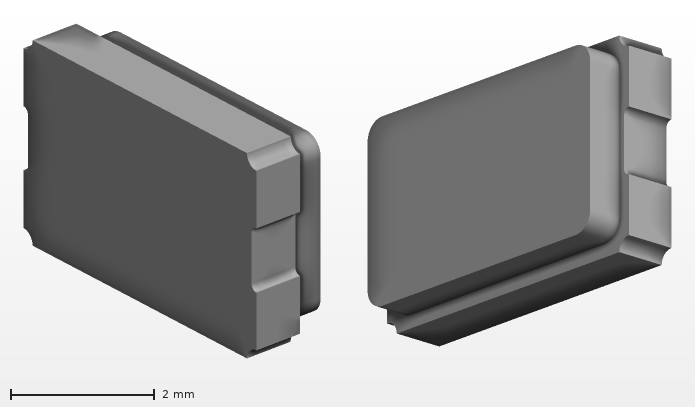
import cadquery as cq

LENGTH = 5.0
HEIGHT = 3.2
TOTAL_DEPTH = 1.35
BASE_DEPTH = 0.8
CORNER_RADIUS = 0.2
LID_LENGTH = LENGTH - 2 * CORNER_RADIUS
LID_HEIGHT = HEIGHT - 2 * CORNER_RADIUS
LID_CORNER_RADIUS = 0.3

NOTCH_HEIGHT = 1.0
NOTCH_DEPTH = 0.1
NOTCH_CORNER_RADIUS = 0.1

PAD_LENGTH = 1.3
PAD_HEIGHT = 2.0
METAL_THICKNESS = 0.05
NOTCH_PLATE_DEPTH = 0.5


def block(length, height, depth, center_x=0.0, start_y=0.0):
    """Box centred on Z = 0 that runs toward +Y from start_y."""
    return (
        cq.Workplane("XY")
        .box(length, depth, height, centered=(True, False, True))
        .translate((center_x, start_y, 0))
    )


def end_notch(side):
    """Cutter for the notch with rounded inner corners; side is -1 or +1 along X."""
    return (
        block(2 * NOTCH_DEPTH, NOTCH_HEIGHT, BASE_DEPTH, side * LENGTH / 2)
        .edges("|Y")
        .edges("<X" if side > 0 else ">X")
        .fillet(NOTCH_CORNER_RADIUS)
    )


def terminal_envelope(side):
    """Pad and notch plate before the notch opening is removed."""
    pad_center = side * (LENGTH - PAD_LENGTH) / 2
    pad = block(PAD_LENGTH, PAD_HEIGHT, METAL_THICKNESS, pad_center)
    plate_length = NOTCH_DEPTH + METAL_THICKNESS
    plate_center = side * (LENGTH - plate_length) / 2
    plate = block(plate_length, NOTCH_HEIGHT, NOTCH_PLATE_DEPTH, plate_center)
    return pad.union(plate)


def make_terminal(side):
    return terminal_envelope(side).cut(end_notch(side))


def make_base():
    """Slab with a concave quarter-round cut along each corner."""
    base = block(LENGTH, HEIGHT, BASE_DEPTH)
    corner_cutters = (
        cq.Workplane("XZ")
        .rect(LENGTH, HEIGHT, forConstruction=True)
        .vertices()
        .circle(CORNER_RADIUS)
        .extrude(-BASE_DEPTH)
    )
    return base.cut(corner_cutters)


def make_lid():
    lid_depth = TOTAL_DEPTH - BASE_DEPTH
    lid = block(LID_LENGTH, LID_HEIGHT, lid_depth, start_y=BASE_DEPTH)
    return lid.edges("|Y").fillet(LID_CORNER_RADIUS)


def make_housing():
    """Base and lid in one piece, with the notches and the terminal recesses."""
    housing = make_base().union(make_lid())
    for side in (-1, 1):
        housing = housing.cut(end_notch(side)).cut(terminal_envelope(side))
    return housing


housing = make_housing().solids()
terminals = [make_terminal(side).solids().val() for side in (-1, 1)]

result = cq.Compound.makeCompound([housing.val(), *terminals])